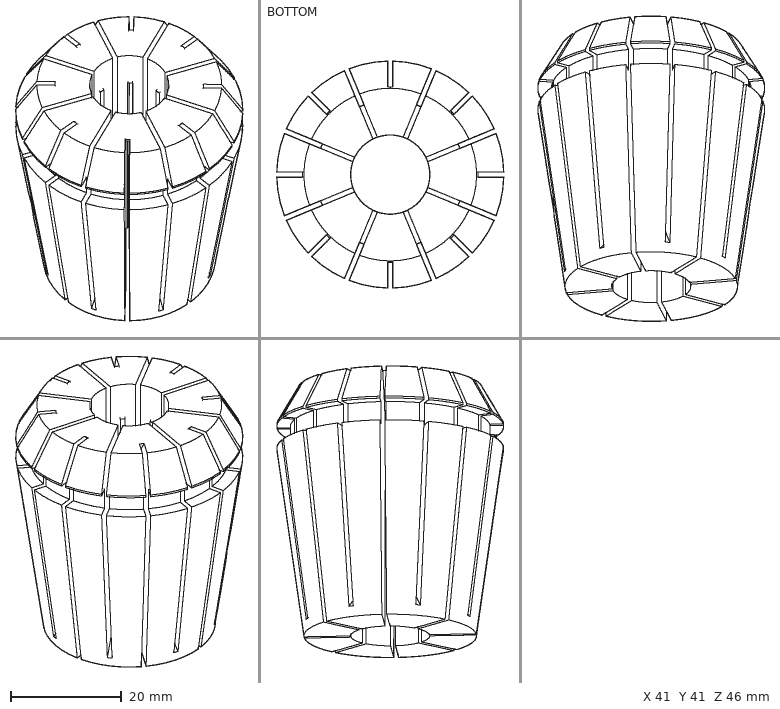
import cadquery as cq
import math

height = 46.0
rim_radius = 20.495
bore_radius = 7.15

body_height = 34.95
body_taper = 8.0
foot_radius = rim_radius - body_height * math.tan(math.radians(body_taper))

groove_radius = 18.05
rim_bottom = 39.0
rim_height = 0.35
cone_bottom = rim_bottom + rim_height
head_taper = 30.0
top_radius = rim_radius - (height - cone_bottom) * math.tan(math.radians(head_taper))

slots_per_set = 8
slot_pitch = 360.0 / slots_per_set
slot_width = 0.87
saw_radius = 34.5
top_slot_outer_end = 1.9
top_slot_bore_end = 12.05
bottom_slot_bore_end = 38.7
bottom_slot_top_radius = 13.45

clearance = 0.45
cutter_radius = rim_radius + clearance
cutter_top = height + clearance
cutter_bottom = -clearance


def make_blank():
    """Turned collet with its through bore, revolved about Z."""
    return (
        cq.Workplane("XZ")
        .moveTo(bore_radius, 0)
        .lineTo(foot_radius, 0)
        .lineTo(rim_radius, body_height)
        .lineTo(groove_radius, body_height)
        .lineTo(groove_radius, rim_bottom)
        .lineTo(rim_radius, rim_bottom)
        .lineTo(rim_radius, cone_bottom)
        .lineTo(top_radius, height)
        .lineTo(bore_radius, height)
        .close()
        .revolve(360, (0, 0, 0), (0, 1, 0))
    )


def make_top_slot():
    """Cutter open at the top; its concave floor rises from the taper to the bore."""
    outer_end_radius = foot_radius + top_slot_outer_end * math.tan(math.radians(body_taper))
    return (
        cq.Workplane("XZ")
        .moveTo(0, cutter_top)
        .lineTo(0, top_slot_bore_end)
        .lineTo(bore_radius, top_slot_bore_end)
        .radiusArc((outer_end_radius, top_slot_outer_end), -saw_radius)
        .lineTo(cutter_radius, top_slot_outer_end)
        .lineTo(cutter_radius, cutter_top)
        .close()
        .extrude(slot_width / 2, both=True)
    )


def make_bottom_slot():
    """Cutter open at the bottom; its concave floor runs from the bore out through the top face."""
    return (
        cq.Workplane("XZ")
        .moveTo(0, cutter_bottom)
        .lineTo(0, bottom_slot_bore_end)
        .lineTo(bore_radius, bottom_slot_bore_end)
        .radiusArc((bottom_slot_top_radius, height), saw_radius)
        .lineTo(bottom_slot_top_radius, cutter_top)
        .lineTo(cutter_radius, cutter_top)
        .lineTo(cutter_radius, cutter_bottom)
        .close()
        .extrude(slot_width / 2, both=True)
    )


def cut_slots(body, cutter, first_angle):
    """Cut one set of evenly spaced slots around Z."""
    for index in range(slots_per_set):
        angle = first_angle + index * slot_pitch
        body = body.cut(cutter.rotate((0, 0, 0), (0, 0, 1), angle))
    return body


result = make_blank()
result = cut_slots(result, make_top_slot(), 0)
result = cut_slots(result, make_bottom_slot(), slot_pitch / 2)